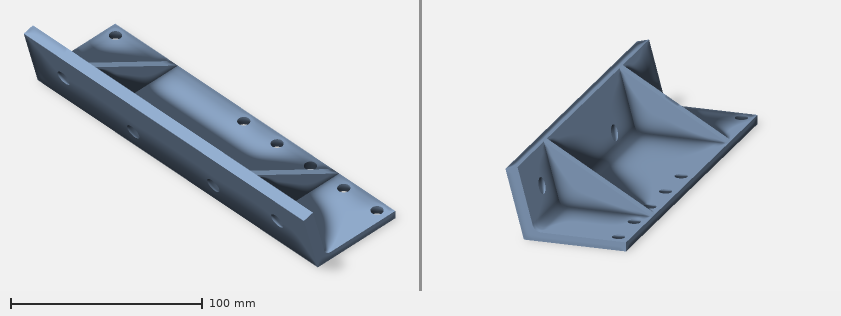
import cadquery as cq
import math

length = 210.0
depth = 66.8
height = 40.0

base_thickness = 5.0
flange_thickness = 7.0
lean_angle = 15.0
bend_radius = 4.8

gusset_thickness = 5.0
gusset_offset = 60.5

base_hole_diameter = 7.0
base_hole_edge = 6.5
base_hole_end = 7.0
base_hole_pitch = 25.0
base_row_count = 5

flange_hole_diameter = 9.0
outer_hole_offset = 80.0
outer_hole_height = 20.5
inner_hole_offset = 30.0
inner_hole_height = 12.8

lean_sin = math.sin(math.radians(lean_angle))
lean_cos = math.cos(math.radians(lean_angle))
lean_tan = lean_sin / lean_cos
front_y = -depth / 2
back_y = depth / 2
outer_top_z = height - flange_thickness * lean_sin
heel_y = front_y + outer_top_z * lean_tan
inner_top_y = front_y + flange_thickness * lean_cos
inner_corner_y = inner_top_y + (height - base_thickness) * lean_tan


def extrude_along_x(points, width, center_x):
    """Extrude a YZ outline by width, centred at center_x."""
    start = cq.Workplane("YZ", origin=(center_x - width / 2, 0, 0))
    return start.polyline(points).close().extrude(width)


def make_angle():
    """Base plate and flange joined by a rounded inner corner."""
    outline = [
        (back_y, 0),
        (heel_y, 0),
        (front_y, outer_top_z),
        (inner_top_y, height),
        (inner_corner_y, base_thickness),
        (back_y, base_thickness),
    ]
    angle = extrude_along_x(outline, length, 0)
    inner_corner = cq.selectors.NearestToPointSelector((0, inner_corner_y, base_thickness))
    return angle.edges(inner_corner).fillet(bend_radius)


def make_gusset(center_x):
    """Triangular web from the back of the base to the top of the flange."""
    outline = [
        (back_y, base_thickness),
        (inner_top_y, height),
        (inner_corner_y, base_thickness),
    ]
    return extrude_along_x(outline, gusset_thickness, center_x)


def make_base_holes():
    last_x = length / 2 - base_hole_end
    hole_xs = [last_x - i * base_hole_pitch for i in range(base_row_count)]
    hole_xs.append(-last_x)
    centers = [(x, back_y - base_hole_edge) for x in hole_xs]
    holes = cq.Workplane("XY").pushPoints(centers)
    return holes.circle(base_hole_diameter / 2).extrude(base_thickness)


def make_flange_holes():
    """Holes square to the flange, drilled inwards from its outer face."""
    outer_face = cq.Plane(
        origin=(0, heel_y, 0), xDir=(1, 0, 0), normal=(0, -lean_cos, -lean_sin)
    )
    centers = []
    for side in (-1, 1):
        centers.append((side * outer_hole_offset, outer_hole_height))
        centers.append((side * inner_hole_offset, inner_hole_height))
    holes = cq.Workplane(outer_face).pushPoints(centers)
    return holes.circle(flange_hole_diameter / 2).extrude(-2 * flange_thickness)


result = make_angle()
for side in (-1, 1):
    result = result.union(make_gusset(side * gusset_offset))
result = result.cut(make_base_holes()).cut(make_flange_holes())